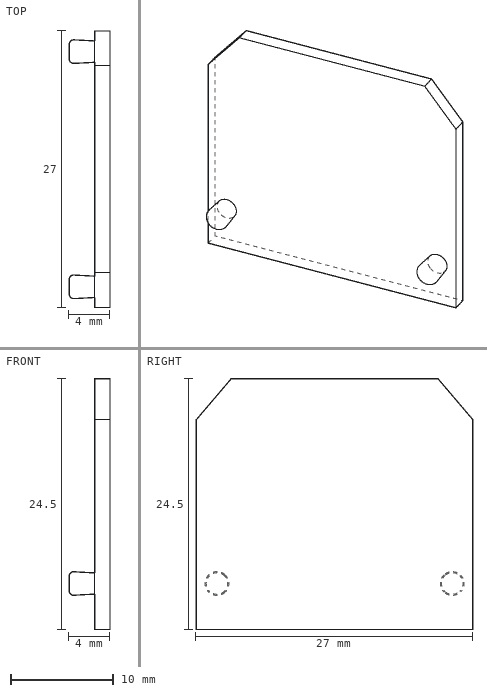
import cadquery as cq

plate_width = 27.0
plate_height = 24.5
plate_thickness = 1.5
corner_width = 3.4
corner_height = 4.0

total_depth = 4.0
peg_length = total_depth - plate_thickness
peg_spacing = 22.95
peg_height = 4.5
peg_root_radius = 1.05
peg_tip_radius = 1.2
tip_rounding = 0.45


def make_plate():
    """Rectangular plate with both top corners cut off."""
    half_width = plate_width / 2
    half_top = half_width - corner_width
    shoulder = plate_height - corner_height
    outline = [
        (-half_width, 0),
        (half_width, 0),
        (half_width, shoulder),
        (half_top, plate_height),
        (-half_top, plate_height),
        (-half_width, shoulder),
    ]
    return cq.Workplane("YZ").polyline(outline).close().extrude(plate_thickness)


def make_peg(y):
    """Peg pointing towards -X from the plate face."""
    peg = (
        cq.Workplane("YZ", origin=(0, y, peg_height))
        .circle(peg_root_radius)
        .workplane(offset=-peg_length)
        .circle(peg_tip_radius)
        .loft(ruled=True)
    )
    return peg.faces("<X").edges().fillet(tip_rounding)


result = make_plate()
for side in (-1, 1):
    result = result.union(make_peg(side * peg_spacing / 2))